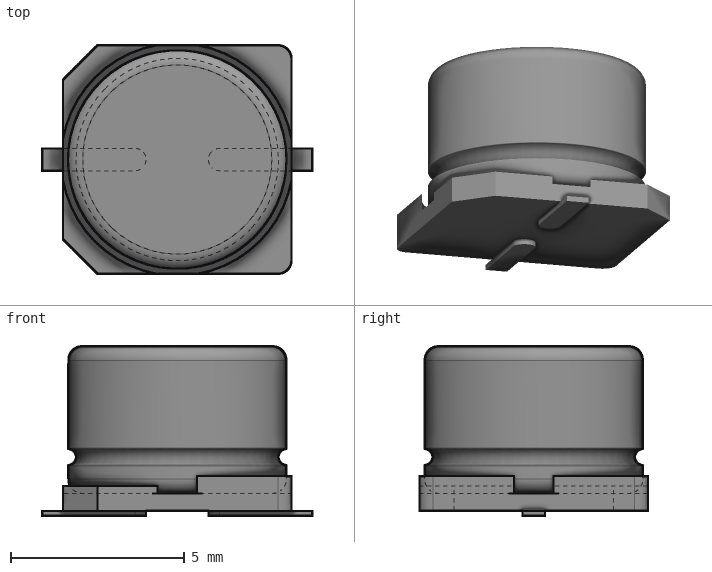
import cadquery as cq

total_height = 4.9
lead_span = 7.8
base_side = 6.6

lead_thickness = 0.15
lead_width = 0.65
lead_gap = 1.8

base_low_top = 0.87
base_high_top = 1.15
corner_chamfer = 1.0
corner_radius = 0.4

seat_radius = 3.35
seat_floor = 0.65

can_radius = 6.3 / 2
can_edge_radius = 0.42
groove_center_height = 1.7
groove_radius = 0.23
groove_lip_radius = 0.03


def make_base():
    """Square plate, chamfered and lower on -X, rounded and taller on +X, with a round seat."""
    plate = (
        cq.Workplane("XY")
        .workplane(offset=lead_thickness)
        .rect(base_side, base_side)
        .extrude(base_high_top - lead_thickness)
    )
    plate = plate.edges("|Z and <X").chamfer(corner_chamfer)
    plate = plate.edges("|Z and >X").fillet(corner_radius)
    low_side = (
        cq.Workplane("XY")
        .workplane(offset=base_low_top)
        .center(-base_side / 4, 0)
        .rect(base_side / 2, base_side)
        .extrude(base_high_top - base_low_top)
    )
    seat = (
        cq.Workplane("XY")
        .workplane(offset=seat_floor)
        .circle(seat_radius)
        .extrude(base_high_top - seat_floor)
    )
    return plate.cut(low_side).cut(seat)


def make_can():
    """Cylinder with rounded ends and a half-round crimp groove with softened lips."""
    can = (
        cq.Workplane("XY")
        .workplane(offset=seat_floor)
        .circle(can_radius)
        .extrude(total_height - seat_floor)
        .faces("<Z or >Z")
        .edges()
        .fillet(can_edge_radius)
    )
    groove = (
        cq.Workplane("XZ")
        .center(can_radius, groove_center_height)
        .circle(groove_radius)
        .revolve(360, (-can_radius, 0), (-can_radius, 1))
    )
    lip_zone = cq.selectors.BoxSelector(
        (-groove_radius, -groove_radius, groove_center_height - 2 * groove_radius),
        (groove_radius, groove_radius, groove_center_height + 2 * groove_radius),
    )
    return can.cut(groove).edges(lip_zone).fillet(groove_lip_radius)


def make_lead(side):
    """Flat lead along X with a fully rounded inner end; side is -1 or +1."""
    half_width = lead_width / 2
    inner = side * lead_gap / 2
    round_start = inner + side * half_width
    outer = side * lead_span / 2
    return (
        cq.Workplane("XY")
        .moveTo(outer, -half_width)
        .lineTo(round_start, -half_width)
        .threePointArc((inner, 0), (round_start, half_width))
        .lineTo(outer, half_width)
        .close()
        .extrude(lead_thickness)
    )


result = make_base().union(make_can())
for side in (-1, 1):
    result = result.union(make_lead(side))